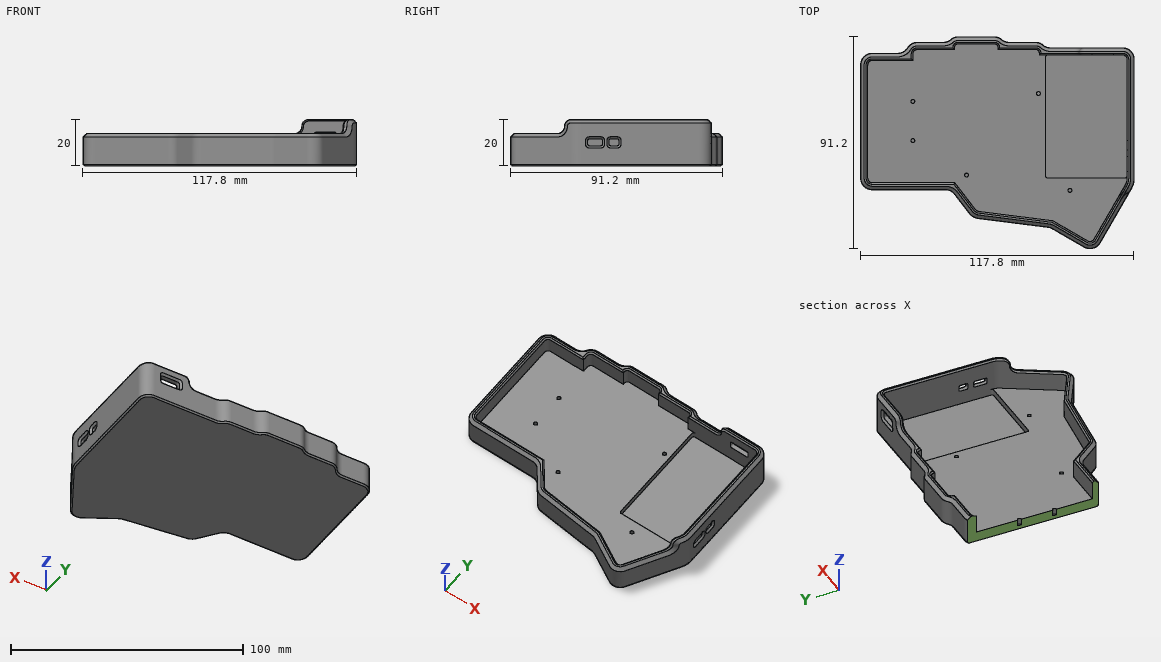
import cadquery as cq
import math

length = 117.8
width = 91.2
height = 20.0
rim_height = 14.0

wall = 3.1
corner_radius = 2.0
step_radius = 1.5
slant_radius = 6.1
thumb_radius = 2.6
outer_concave_radius = 5.0
floor_top = 5.0
outer_chamfer = 1.5
inner_chamfer = 0.7
bottom_chamfer = 0.7

step_rise = 2.4
column_edges = [22.5, 40.4, 59.1, 76.9]

front_y = 28.4
front_bend = (40.5, front_y)
thumb_left = (50.0, 16.1)
thumb_bend = (82.7, 12.0)
thumb_angle = 30.0

raise_x = 94.1
raise_y = 23.2

recess_left = 79.6
recess_front = 30.4
recess_floor = 2.0
recess_radius = 1.0

hole_diameter = 1.6
hole_depth = 3.0
hole_centers = [(22.5, 63.4), (22.5, 46.5), (76.6, 66.8), (45.6, 31.7), (90.1, 25.1)]

back_slot = (99.7, 109.0, 10.5, 14.5)
side_slots = [(42.4, 46.6, 8.7, 11.7), (33.2, 39.6, 8.7, 11.7)]
slot_radius = 0.7
slot_flare = 1.0

margin = 11.8
tolerance = 0.001

left = wall
right = length - wall
back_y = width - wall
right_back_y = back_y - 2 * step_rise


def cavity_corners():
    """Sharp corners of the cavity with their fillet radii, clockwise from the front left."""
    tilt = math.radians(thumb_angle)
    x_bend, y_bend = thumb_bend
    tip_y = corner_radius + wall - corner_radius * (math.cos(tilt) + math.sin(tilt))
    tip_x = x_bend + (y_bend - tip_y) / math.tan(tilt)
    slant_top_y = tip_y + (right - tip_x) / math.tan(tilt)
    first_edge, second_edge, third_edge, fourth_edge = column_edges
    return [
        (left, front_y, corner_radius),
        (left, back_y - 3 * step_rise, corner_radius),
        (first_edge, back_y - 3 * step_rise, 0),
        (first_edge, back_y - step_rise, corner_radius),
        (second_edge, back_y - step_rise, 0),
        (second_edge, back_y, step_radius),
        (third_edge, back_y, step_radius),
        (third_edge, back_y - step_rise, 0),
        (fourth_edge, back_y - step_rise, step_radius),
        (fourth_edge, right_back_y, 0),
        (right, right_back_y, corner_radius),
        (right, slant_top_y, slant_radius),
        (tip_x, tip_y, corner_radius),
        (*thumb_bend, 0),
        (*thumb_left, thumb_radius),
        (*front_bend, 0),
    ]


def cavity_outline():
    """Outline of the cavity, ready to extrude; hollow corners stay sharp."""
    corners = cavity_corners()
    outline = cq.Wire.makePolygon([cq.Vector(x, y) for x, y, _ in corners], close=True)
    for x, y, radius in corners:
        if radius > 0:
            corner = min(outline.Vertices(), key=lambda v: math.hypot(v.X - x, v.Y - y))
            outline = outline.fillet2D(radius, [corner])
    return cq.Workplane("XY").newObject([outline]).toPending()


def ramp_profile(plane, middle, end):
    """Region under an S-shaped ramp from the low rim up to the full height."""
    radius = (height - rim_height) / 2
    bend = radius * math.sqrt(0.5)
    return (
        cq.Workplane(plane)
        .moveTo(-margin, 0)
        .lineTo(-margin, rim_height)
        .lineTo(middle - radius, rim_height)
        .threePointArc(
            (middle - radius + bend, rim_height + radius - bend),
            (middle, rim_height + radius),
        )
        .threePointArc(
            (middle + radius - bend, height - radius + bend),
            (middle + radius, height),
        )
        .lineTo(end, height)
        .lineTo(end, 0)
        .close()
    )


def rim_edges(body, side_wall):
    """Edges along the top of the wall that lie on the given upright side wall."""
    found = []
    for edge in body.edges().vals():
        middle = edge.positionAt(0.5)
        extent = edge.BoundingBox()
        upright = extent.xlen + extent.ylen < tolerance
        on_wall = side_wall.distance(cq.Vertex.makeVertex(*middle.toTuple())) < tolerance
        if on_wall and not upright and middle.z > rim_height - tolerance:
            found.append(edge)
    return body.newObject(found)


def slot_cutter(first, last, bottom, top):
    """Rounded slot through a wall whose outer face is at X = 0, flared towards +X."""
    slot_width = last - first
    slot_height = top - bottom
    middle = cq.Workplane("YZ", origin=(-2 * wall, (first + last) / 2, (bottom + top) / 2))
    straight = middle.rect(slot_width, slot_height).extrude(2 * wall)
    straight = straight.edges("|X").fillet(slot_radius)
    flare = (
        straight.faces(">X")
        .wires()
        .toPending()
        .workplane()
        .offset2D(slot_flare)
        .extrude(-slot_flare, taper=45)
    )
    return straight.union(flare)


cavity = cavity_outline().extrude(height)
inner_side = cq.Shell.makeShell(cavity.faces("not (<Z or >Z)").vals())
outer_outline = cavity_outline().offset2D(wall + outer_concave_radius)
block = outer_outline.offset2D(-outer_concave_radius).extrude(height)
outer_side = cq.Shell.makeShell(block.faces("not (<Z or >Z)").vals())
body = block.faces("<Z").chamfer(bottom_chamfer)

body = body.intersect(ramp_profile("XZ", raise_x, length + margin).extrude(-width - margin))
body = body.intersect(ramp_profile("YZ", raise_y, width + margin).extrude(length + margin))

body = body.cut(cavity.translate((0, 0, floor_top)))
body = rim_edges(body, outer_side).chamfer(outer_chamfer)
body = rim_edges(body, inner_side).chamfer(inner_chamfer)

recess = (
    cq.Workplane("XY", origin=(0, 0, recess_floor))
    .moveTo(recess_left, recess_front)
    .rect(right - recess_left, right_back_y - recess_front, centered=False)
    .extrude(floor_top - recess_floor)
    .edges("|Z")
    .fillet(recess_radius)
)
body = body.cut(recess.intersect(cavity))

holes = (
    cq.Workplane("XY", origin=(0, 0, floor_top - hole_depth))
    .pushPoints(hole_centers)
    .circle(hole_diameter / 2)
    .extrude(hole_depth)
)
body = body.cut(holes)

first_x, last_x, bottom, top = back_slot
back_opening = slot_cutter(-last_x, -first_x, bottom, top)
back_opening = back_opening.rotate((0, 0, 0), (0, 0, 1), 90)
body = body.cut(back_opening.translate((0, right_back_y + wall, 0)))
for side_slot in side_slots:
    body = body.cut(slot_cutter(*side_slot).translate((length, 0, 0)))

result = body